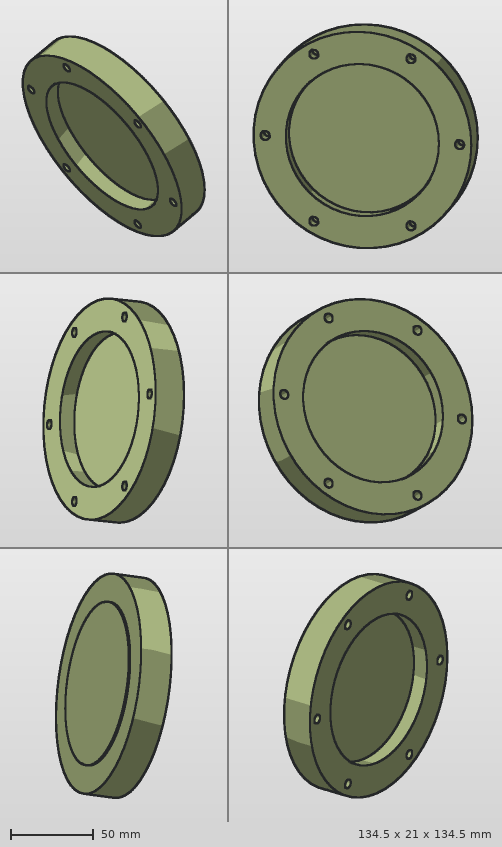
import cadquery as cq

body_diameter = 134.5
body_thickness = 20.0

boss_diameter = 100.0
boss_height = 1.0

recess_diameter = 94.5
recess_depth = 10.0

hole_count = 6
hole_diameter = 5.5
hole_circle_diameter = 120.0
hole_depth = 10.0

total_thickness = body_thickness + boss_height
front_y = -total_thickness / 2
back_y = front_y + body_thickness


def plane_at(y):
    """XZ work plane at height y, with its normal along -Y."""
    return cq.Workplane("XZ", origin=(0, y, 0))


def disc(diameter, start_y, length):
    """Solid disc on the part axis, running from start_y towards +Y."""
    return plane_at(start_y).circle(diameter / 2).extrude(-length)


def rim_holes():
    """Ring of blind hole cutters, the first one on the +X axis."""
    return (
        plane_at(front_y)
        .polarArray(hole_circle_diameter / 2, 0, 360, hole_count)
        .circle(hole_diameter / 2)
        .extrude(-hole_depth)
    )


body = disc(body_diameter, front_y, body_thickness)
boss = disc(boss_diameter, back_y, boss_height)
recess = disc(recess_diameter, front_y, recess_depth)

result = body.union(boss).cut(recess).cut(rim_holes())